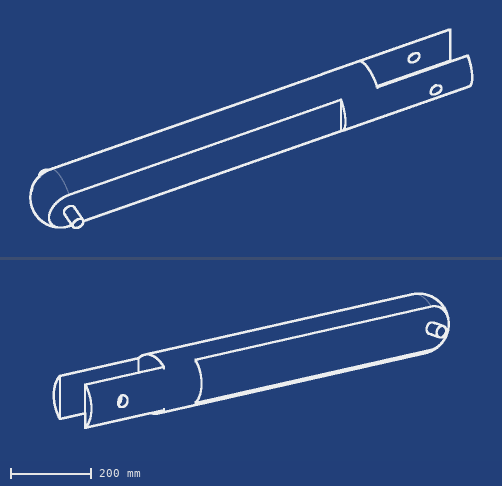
import cadquery as cq

rod_diameter = 150.0
tongue_width = 100.0
slot_width = tongue_width
pin_diameter = 30.0
pin_left_reach = 40.0
pin_right_reach = 50.0
hole_spacing = 1000.0
fork_end_margin = 100.0
slot_depth = 250.0
flat_end_y = 750.0

rod_radius = rod_diameter / 2
half_tongue = tongue_width / 2
fork_end_y = hole_spacing + fork_end_margin
slot_floor_y = fork_end_y - slot_depth


def box_between(x_min, x_max, y_min, y_max):
    """Box spanning the given X and Y limits and the full rod height in Z."""
    return cq.Workplane("XY").box(
        x_max - x_min, y_max - y_min, rod_diameter, centered=(False, False, True)
    ).translate((x_min, y_min, 0))


def cross_cylinder(y, diameter, x_min, x_max):
    """Cylinder along X between two X limits, centred on Z = 0 at the given Y."""
    return (
        cq.Workplane("YZ", origin=(x_min, y, 0))
        .circle(diameter / 2)
        .extrude(x_max - x_min)
    )


def round_nosed_rod():
    """Round rod with a hemispherical nose centred on the pin axis."""
    shaft = cq.Workplane("XZ").circle(rod_radius).extrude(-fork_end_y)
    nose = cq.Workplane("XY").sphere(rod_radius)
    return shaft.union(nose)


def cut_flats(body):
    """Cut a flat on each side of the rod, from the nose to the shoulder."""
    side = box_between(half_tongue, rod_radius, -rod_radius, flat_end_y)
    return body.cut(side).cut(side.mirror("YZ"))


def cut_fork(body):
    """Cut the open slot and the cross hole through both fork arms."""
    slot = box_between(-slot_width / 2, slot_width / 2, slot_floor_y, fork_end_y)
    hole = cross_cylinder(hole_spacing, pin_diameter, -rod_radius, rod_radius)
    return body.cut(slot).cut(hole)


def add_pin(body):
    """Add the cross pin that sticks out of both flats."""
    pin = cross_cylinder(0, pin_diameter, -half_tongue - pin_left_reach, half_tongue + pin_right_reach)
    return body.union(pin)


result = add_pin(cut_fork(cut_flats(round_nosed_rod())))